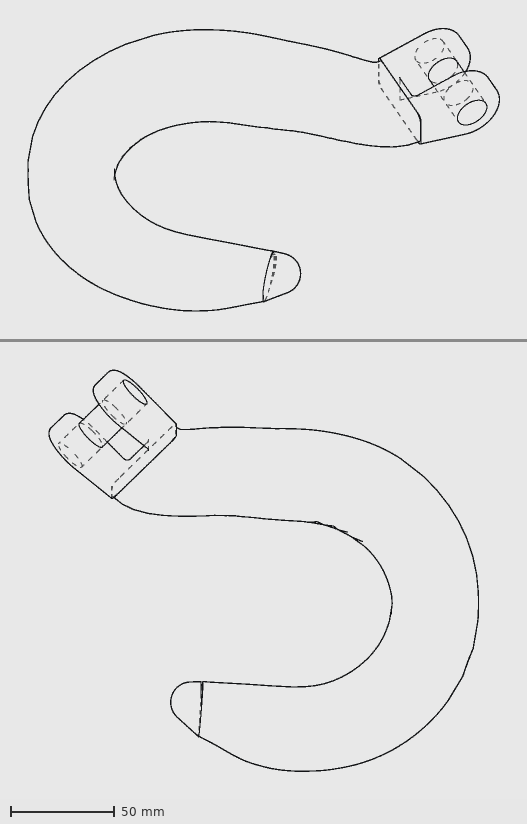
import cadquery as cq
import math


bowl_inner_radius = 44.5
bowl_outer_radius = 86.5
arm_outer_radius = 83.3
arm_centre_drop = bowl_outer_radius - arm_outer_radius
shank_slope = 50.5
shank_angle = 90 + shank_slope
arm_angle = 270 + shank_slope

shank_length = 39.9
shank_end_width = 40.8
arm_length = 43.6
tip_radius = 10.0
tip_x = arm_outer_radius - tip_radius
tip_y = 2.5

clevis_width = 45.3
clevis_x = -0.2
clevis_end_y = 105.5
clevis_end_half_height = 10.4
pin_y = 133.3
lug_radius = 16.0
slot_width = 16.5
slot_corner_radius = 2.4
slot_floor_wall = 3.5
clevis_edge_radius = 2.8

neck_inset = 0.5
neck_half_width = clevis_width / 2 - neck_inset
neck_bend_inner = (19.8, 93.5)
neck_bend_outer = (-23.0, 102.5)
neck_middle_inner = (11.8, 80.7)
neck_middle_outer = (-26.0, 99.0)

pin_diameter = 16.0


def unit(angle):
    """Unit vector in the XY plane at a polar angle in degrees."""
    return cq.Vector(math.cos(math.radians(angle)), math.sin(math.radians(angle)))


def bowl_station(angle):
    """Inner point and outer point of the bowl on one radius."""
    outer = bowl_outer_radius
    if angle > 270:
        across = arm_centre_drop * math.cos(math.radians(angle))
        along = arm_centre_drop * math.sin(math.radians(angle))
        outer = math.sqrt(arm_outer_radius**2 - across**2) - along
    return unit(angle) * bowl_inner_radius, unit(angle) * outer


def shank_station(distance):
    """Inner and outer point of the shank, at a distance from the bowl."""
    start_width = bowl_outer_radius - bowl_inner_radius
    width = start_width + (shank_end_width - start_width) * distance / shank_length
    inner = unit(shank_angle) * bowl_inner_radius + unit(shank_slope) * distance
    return inner, inner + unit(shank_angle) * width


def arm_station(distance):
    """Inner and outer end of a section where the outer arc closes in on the straight inner side."""
    inner = unit(arm_angle) * bowl_inner_radius + unit(shank_slope) * distance
    from_centre = inner + cq.Vector(0, arm_centre_drop)
    across = from_centre.dot(unit(arm_angle))
    along = from_centre.dot(unit(shank_slope))
    width = math.sqrt(arm_outer_radius**2 - along**2) - across
    return inner, inner + unit(arm_angle) * width


def cross_section(ends, inner_half, outer_half, inner_flat, outer_flat, inner_round, outer_round):
    """Closed section with tapering top and bottom, blended into short flat inner and outer sides."""
    inner, outer = ends
    width = (outer - inner).Length
    across = (outer - inner).normalized()

    def point(reach, height):
        return inner + across * reach + cq.Vector(0, 0, height)

    def half(side):
        """Spline from the inner side over the top (side 1) or the bottom (side -1) to the outer side."""
        upright = cq.Vector(0, 0, side)
        inner_top = point(inner_round, side * inner_half)
        outer_top = point(width - outer_round, side * outer_half)
        taper = (outer_top - inner_top).normalized()
        points = [
            point(0, 0),
            point(0, side * inner_flat),
            inner_top,
            outer_top,
            point(width, side * outer_flat),
            point(width, 0),
        ]
        return cq.Edge.makeSpline(points, [upright, upright, taper, taper, -upright, -upright])

    return cq.Wire.assembleEdges([half(1), half(-1)])


def make_hook_sweep():
    """Neck, shank, bowl and point in one smooth loft from the clevis to the tip."""
    neck_left = cq.Vector(clevis_x - neck_half_width, clevis_end_y)
    neck_right = cq.Vector(clevis_x + neck_half_width, clevis_end_y)
    neck_bend = (cq.Vector(*neck_bend_inner), cq.Vector(*neck_bend_outer))
    neck_middle = (cq.Vector(*neck_middle_inner), cq.Vector(*neck_middle_outer))
    tip_outer_reach = tip_radius / math.sin(math.radians(shank_slope))
    sections = [
        cross_section((neck_right, neck_left), 10.1, 10.1, 4.7, 4.7, 4.7, 4.7),
        cross_section(neck_bend, 10.4, 10.4, 4.7, 4.7, 5.2, 4.7),
        cross_section(neck_middle, 11.5, 11.0, 4.7, 5.2, 6.5, 5.2),
        cross_section(shank_station(shank_length), 14.0, 12.3, 4.7, 6.5, 8.3, 6.0),
        cross_section(shank_station(shank_length / 2), 16.3, 12.7, 4.7, 7.5, 10.0, 5.2),
        cross_section(bowl_station(shank_angle), 18.5, 12.7, 4.7, 8.0, 11.8, 4.7),
        cross_section(bowl_station(160), 19.3, 12.7, 5.2, 8.0, 12.3, 4.7),
        cross_section(bowl_station(180), 19.5, 12.5, 5.2, 8.0, 12.7, 4.7),
        cross_section(bowl_station(205), 19.3, 11.8, 5.2, 7.0, 12.7, 5.2),
        cross_section(bowl_station(230), 18.0, 10.5, 4.7, 6.0, 12.3, 5.2),
        cross_section(bowl_station(250), 16.3, 9.7, 4.7, 5.2, 11.8, 5.2),
        cross_section(bowl_station(270), 14.9, 8.7, 4.2, 4.2, 11.3, 5.2),
        cross_section(bowl_station(295), 13.0, 8.5, 3.5, 3.3, 10.9, 5.7),
        cross_section(bowl_station(arm_angle), 11.5, 8.7, 2.8, 2.4, 10.4, 7.0),
        cross_section(arm_station(arm_length / 2), 10.5, 9.2, 2.0, 1.7, 10.1, 9.5),
        cross_section(arm_station(arm_length), tip_radius, tip_radius, 1.2, 1.2, tip_radius, tip_outer_reach),
    ]
    return cq.Workplane(cq.Solid.makeLoft(sections))


def make_tip():
    """Ball tip, with a round inner side, a round outer side and a flat wedge between them."""
    ball_centre = cq.Vector(tip_x, tip_y)
    inner, outer = arm_station(arm_length)
    inner_axis_start = inner + unit(arm_angle) * tip_radius
    outer_axis_start = cq.Vector(tip_x, outer.y)
    inner_run = ball_centre - inner_axis_start
    outer_run = ball_centre - outer_axis_start
    ball = cq.Workplane(cq.Solid.makeSphere(tip_radius, angleDegrees1=-90).translate(ball_centre))
    inner_side = cq.Solid.makeCylinder(tip_radius, inner_run.Length, inner_axis_start, inner_run)
    outer_side = cq.Solid.makeCylinder(tip_radius, outer_run.Length, outer_axis_start, outer_run)
    wedge = (
        cq.Workplane()
        .polyline([p.toTuple()[:2] for p in (ball_centre, inner_axis_start, outer_axis_start)])
        .close()
        .extrude(tip_radius, both=True)
    )
    tip = ball.union(cq.Workplane(inner_side)).union(cq.Workplane(outer_side)).union(wedge)
    end_plane = cq.Plane(origin=inner, xDir=unit(arm_angle), normal=unit(shank_slope))
    reach = bowl_inner_radius
    beyond = cq.Workplane(end_plane).rect(2 * reach, 2 * reach).extrude(reach)
    return tip.intersect(beyond)


def make_hook():
    return make_hook_sweep().union(make_tip())


def make_pin():
    return (
        cq.Workplane("YZ", origin=(clevis_x - clevis_width / 2, 0, 0))
        .center(pin_y, 0)
        .circle(pin_diameter / 2)
        .extrude(clevis_width)
    )


def make_clevis():
    run = pin_y - clevis_end_y
    distance = math.hypot(run, clevis_end_half_height)
    flank_angle = math.atan2(clevis_end_half_height, -run) - math.acos(lug_radius / distance)
    tangent_y = pin_y + lug_radius * math.cos(flank_angle)
    tangent_z = lug_radius * math.sin(flank_angle)
    clevis = (
        cq.Workplane("YZ", origin=(clevis_x - clevis_width / 2, 0, 0))
        .moveTo(clevis_end_y, -clevis_end_half_height)
        .lineTo(tangent_y, -tangent_z)
        .threePointArc((pin_y + lug_radius, 0), (tangent_y, tangent_z))
        .lineTo(clevis_end_y, clevis_end_half_height)
        .close()
        .extrude(clevis_width)
    )
    slot_floor_y = clevis_end_y + slot_floor_wall
    slot_length = 2 * lug_radius + pin_y - slot_floor_y
    slot = (
        cq.Workplane("XY", origin=(clevis_x, slot_floor_y + slot_length / 2, 0))
        .box(slot_width, slot_length, 4 * lug_radius)
        .edges("|Z and <Y")
        .fillet(slot_corner_radius)
    )
    clevis = clevis.cut(slot)
    lug_side_edges = clevis.faces("|X").edges("not(|Z)")
    slot_end = cq.selectors.BoxSelector(
        (clevis_x - slot_width, slot_floor_y - slot_corner_radius, -lug_radius),
        (clevis_x + slot_width, slot_floor_y + slot_corner_radius, lug_radius),
    )
    slot_end_edges = clevis.edges(slot_end).edges("not(|Z)")
    clevis = lug_side_edges.add(slot_end_edges).fillet(clevis_edge_radius)
    return clevis.cut(make_pin())


hook = make_hook()
clevis = make_clevis()
pin = make_pin()

result = cq.Compound.makeCompound([hook.val(), clevis.val(), pin.val()])